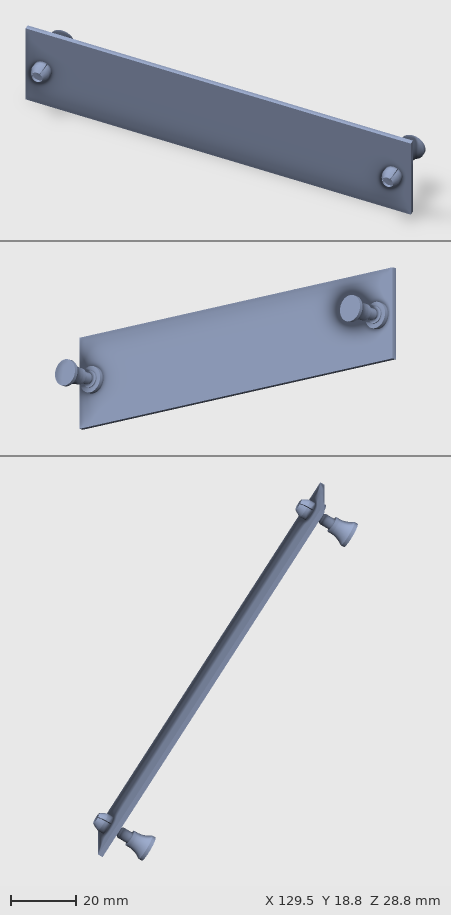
import cadquery as cq

panel_length = 129.5
panel_height = 28.8
panel_thickness = 1.5
rivet_inset = 5.8

collar_radius = 2.6
collar_height = 0.4
flange_radius = 4.1
flange_height = 1.5
nose_radius = 3.0
nose_straight = 2.0
nose_length = 4.3
nose_tip_radius = 1.8
nose_bulge = 0.1
slit_count = 3
slit_width = 0.3
first_slit_angle = 60.0

pin_radius = nose_tip_radius
pin_recess = 0.9
neck_radius = 1.4
neck_gap = 0.9
shank_radius = 1.8
shank_lead_in = 0.4
shank_length = 3.4
knob_base_radius = 2.6
knob_base_length = 1.2
knob_rim_radius = 4.1
knob_rim_length = 1.2
overall_depth = 18.8
flare_sag = 0.4

panel_back = panel_thickness
nose_shoulder = -nose_straight
nose_end = -nose_length
pin_end = nose_end + pin_recess
flange_back = panel_back + flange_height
collar_back = flange_back + collar_height
shank_front = collar_back + neck_gap
knob_front = shank_front + shank_length
flare_front = knob_front + knob_base_length
knob_back = nose_end + overall_depth
rim_front = knob_back - knob_rim_length

rivet_spacing = panel_length - 2 * rivet_inset
rivet_positions = [-rivet_spacing / 2, rivet_spacing / 2]


def bowed_midpoint(start, end, bow):
    """Midpoint of a chord, moved radially by bow."""
    return ((start[0] + end[0]) / 2 + bow, (start[1] + end[1]) / 2)


def revolve_about_y(profile):
    """Turn a closed (radius, Y) half profile about the Y axis."""
    return profile.close().revolve(360, (0, 0, 0), (0, 1, 0))


def make_panel():
    panel = cq.Workplane("XY").box(
        panel_length, panel_thickness, panel_height, centered=(True, False, True)
    )
    holes = (
        cq.Workplane("XZ")
        .pushPoints([(x, 0) for x in rivet_positions])
        .circle(nose_radius)
        .extrude(-panel_thickness)
    )
    return panel.cut(holes)


def make_slit(angle):
    """Radial slot through one side of the nose, from its tip to the panel face."""
    slit_reach = 2 * nose_radius
    return (
        cq.Workplane("XY")
        .box(slit_reach, nose_length, slit_width, centered=(False, False, True))
        .translate((0, nose_end, 0))
        .rotate((0, 0, 0), (0, 1, 0), -angle)
    )


def make_grommet(x):
    shoulder = (nose_radius, nose_shoulder)
    tip = (nose_tip_radius, nose_end)
    grommet = revolve_about_y(
        cq.Workplane("XY")
        .moveTo(*tip)
        .threePointArc(bowed_midpoint(tip, shoulder, nose_bulge), shoulder)
        .lineTo(nose_radius, panel_back)
        .lineTo(flange_radius, panel_back)
        .lineTo(flange_radius, flange_back)
        .lineTo(collar_radius, flange_back)
        .lineTo(collar_radius, collar_back)
        .lineTo(pin_radius, collar_back)
    )
    for index in range(slit_count):
        grommet = grommet.cut(make_slit(first_slit_angle + index * 360 / slit_count))
    return grommet.translate((x, 0, 0))


def make_plunger(x):
    flare_start = (knob_base_radius, flare_front)
    flare_end = (knob_rim_radius, rim_front)
    plunger = revolve_about_y(
        cq.Workplane("XY")
        .moveTo(0, pin_end)
        .lineTo(pin_radius, pin_end)
        .lineTo(pin_radius, collar_back)
        .lineTo(neck_radius, collar_back)
        .lineTo(neck_radius, shank_front - shank_lead_in)
        .lineTo(shank_radius, shank_front)
        .lineTo(shank_radius, knob_front)
        .lineTo(knob_base_radius, knob_front)
        .lineTo(*flare_start)
        .threePointArc(bowed_midpoint(flare_start, flare_end, -flare_sag), flare_end)
        .lineTo(knob_rim_radius, knob_back)
        .lineTo(0, knob_back)
    )
    return plunger.translate((x, 0, 0))


panel = make_panel()
grommets = [make_grommet(x) for x in rivet_positions]
plungers = [make_plunger(x) for x in rivet_positions]

result = cq.Compound.makeCompound(
    [panel.val()] + [body.val() for body in grommets + plungers]
)